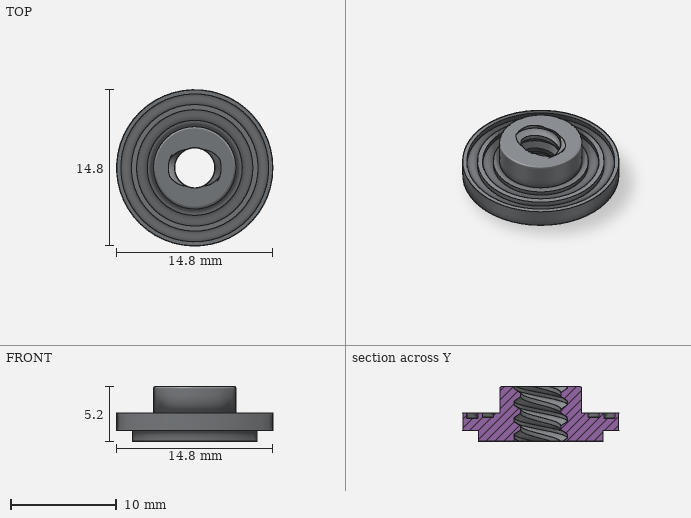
import cadquery as cq

flange_radius = 7.4
spigot_radius = 5.9
boss_diameter = 7.8
spigot_height = 1.0
flange_top = 2.7
total_height = 5.2
boss_fillet = 0.2

face_grooves = [(4.5, 5.5, 0.4), (6.0, 7.0, 0.5)]

bore_radius = 1.9
thread_root_radius = 2.5
thread_starts = 2
thread_pitch = 1.57
root_width = 0.34
mouth_width = 1.15
radial_overlap = 0.07
turns_to_top = 2
turns_above = 1


def cylinder(radius, bottom, top):
    return cq.Workplane("XY").workplane(offset=bottom).circle(radius).extrude(top - bottom)


def thread_cutter():
    """One helical groove with a trapezoidal section, centred on +X at the top face."""
    lead = thread_starts * thread_pitch
    start_height = total_height - turns_to_top * lead
    taper = (mouth_width - root_width) / (thread_root_radius - bore_radius)
    inner_half = (mouth_width + taper * radial_overlap) / 2
    outer_half = root_width / 2
    inner_radius = bore_radius - radial_overlap
    section = cq.Workplane("XZ").polyline([
        (inner_radius, -inner_half),
        (thread_root_radius, -outer_half),
        (thread_root_radius, outer_half),
        (inner_radius, inner_half),
    ]).close()
    helix = cq.Wire.makeHelix(lead, (turns_to_top + turns_above) * lead, bore_radius)
    return section.sweep(cq.Workplane(obj=helix), isFrenet=True).translate((0, 0, start_height))


boss = cylinder(boss_diameter / 2, 0, total_height).faces(">Z").edges().fillet(boss_fillet)
body = cylinder(spigot_radius, 0, spigot_height)
body = body.union(cylinder(flange_radius, spigot_height, flange_top)).union(boss)

for inner_radius, outer_radius, depth in face_grooves:
    groove_floor = flange_top - depth
    groove = cylinder(outer_radius, groove_floor, flange_top)
    groove = groove.cut(cylinder(inner_radius, groove_floor, flange_top))
    body = body.cut(groove)

cutter = thread_cutter()
for start in range(thread_starts):
    body = body.cut(cutter.rotate((0, 0, 0), (0, 0, 1), start * 360.0 / thread_starts))
result = body.cut(cylinder(bore_radius, 0, total_height))